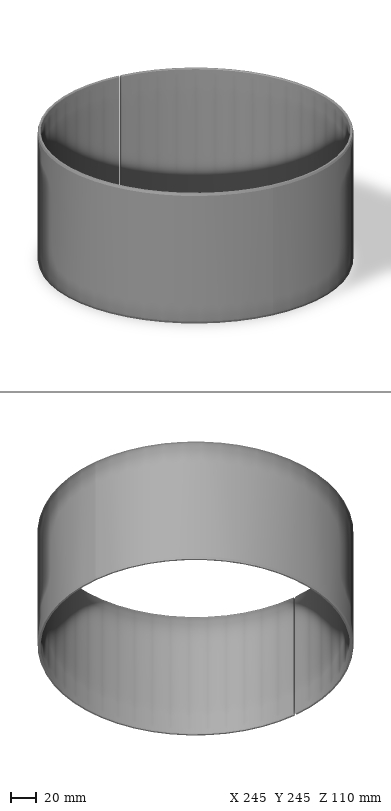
import cadquery as cq

outer_diameter = 245.0
height = 110.0
wall = 2.5
outer_chamfer_width = 0.65
outer_chamfer_height = 1.8
inner_chamfer_width = 0.35
inner_chamfer_height = 0.6
slit_width = 2.0

outer_radius = outer_diameter / 2
inner_radius = outer_radius - wall
half_height = height / 2

outer_rim_radius = outer_radius - outer_chamfer_width
inner_rim_radius = inner_radius + inner_chamfer_width
outer_wall_end = half_height - outer_chamfer_height
inner_wall_end = half_height - inner_chamfer_height


def make_ring():
    """Revolve the wall section, chamfered at all four rims, about Z."""
    section = [
        (inner_radius, -inner_wall_end),
        (inner_rim_radius, -half_height),
        (outer_rim_radius, -half_height),
        (outer_radius, -outer_wall_end),
        (outer_radius, outer_wall_end),
        (outer_rim_radius, half_height),
        (inner_rim_radius, half_height),
        (inner_radius, inner_wall_end),
    ]
    return cq.Workplane("XZ").polyline(section).close().revolve(360, (0, 0), (0, 1))


def make_slit():
    """Full-height cutter on the -X side; one face of the slit lies on the XZ plane."""
    return (
        cq.Workplane("XY")
        .box(outer_radius, slit_width, height, centered=(False, False, True))
        .translate((-outer_radius, 0, 0))
    )


result = make_ring().cut(make_slit())